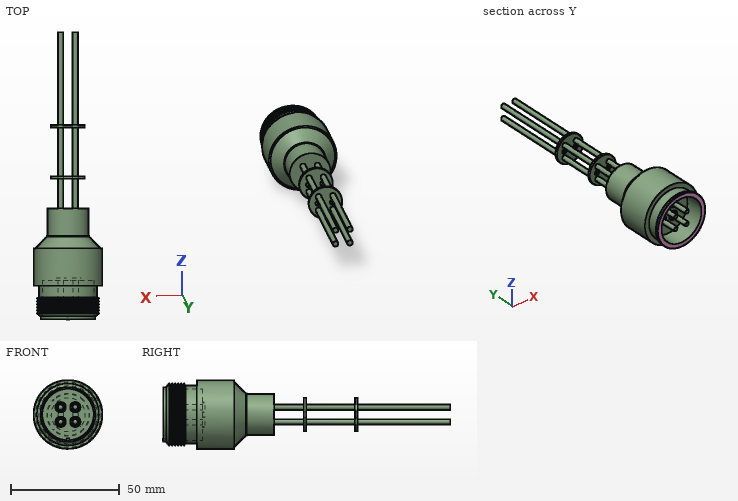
import cadquery as cq


overall_length = 132.15
key_overhang = 0.3
lead_end = overall_length - key_overhang

rim_radius = 12.6
bore_radius = 11.8
bore_depth = 18.0
rim_length = 1.35
collar_radius = 13.35
crest_radius = 14.25
first_crest = 2.7
thread_pitch = 1.37
crest_count = 6
flange_diameter = 31.7
flange_radius = flange_diameter / 2
flange_start = 15.4
taper_start = 32.6
taper_end = 38.4
lip_radius = 9.8
lip_length = 0.5
taper_large_radius = 15.0
neck_radius = 9.5
neck_end = 50.9

key_width = 1.3
key_radius = 0.75
key_center_radius = 11.65

contact_offset = 3.36
well_radius = 2.4
well_depth = 1.0
sleeve_radius = 2.0
pin_radius = 1.25
pin_nose_height = 1.0
pin_tip = 7.6
lead_radius = 1.3
lead_embedment = 1.0

disc_radius = 7.8
disc_thickness = 1.2
disc_centers = (65.1, 88.6)
disc_hole_radius = lead_radius

contact_points = [
    (side_x * contact_offset, side_z * contact_offset)
    for side_x in (-1, 1)
    for side_z in (-1, 1)
]


def cylinder(radius, start, end, center_x=0.0, center_z=0.0):
    """Cylinder along +Y between two stations."""
    return cq.Workplane(
        cq.Solid.makeCylinder(
            radius,
            end - start,
            cq.Vector(center_x, start, center_z),
            cq.Vector(0, 1, 0),
        )
    )


def revolve_about_y(outline):
    """Turn a closed (radius, y) outline about the Y axis."""
    return cq.Workplane("XY").polyline(outline).close().revolve(360, (0, 0, 0), (0, 1, 0))


def shell_body():
    """Outer shell with parallel thread ridges in place of a helix."""
    outline = [(0, 0), (rim_radius, 0), (rim_radius, rim_length)]
    for index in range(crest_count):
        crest = first_crest + index * thread_pitch
        outline.append((crest_radius, crest))
        outline.append((collar_radius, crest + thread_pitch / 2))
    outline += [
        (collar_radius, flange_start),
        (flange_radius, flange_start),
        (flange_radius, taper_start),
        (taper_large_radius, taper_start),
        (lip_radius, taper_end - lip_length),
        (lip_radius, taper_end),
        (neck_radius, taper_end),
        (neck_radius, neck_end),
        (0, neck_end),
    ]
    return revolve_about_y(outline).cut(cylinder(bore_radius, 0, bore_depth))


def round_nosed_pin(radius, nose_height, tip, back, center_x, center_z):
    """Pin along +Y whose front end is a spherical cap."""
    sphere_radius = (radius**2 + nose_height**2) / (2 * nose_height)
    shoulder = tip + nose_height
    sphere = cq.Workplane("XY").sphere(sphere_radius).translate((center_x, tip + sphere_radius, center_z))
    nose = cylinder(radius, tip, shoulder, center_x, center_z).intersect(sphere)
    return nose.union(cylinder(radius, shoulder, back, center_x, center_z))


def locating_key():
    """Round bar along X, set into the bore wall and just proud of the rim."""
    return cq.Workplane(
        cq.Solid.makeCylinder(
            key_radius,
            key_width,
            cq.Vector(-key_width / 2, key_radius - key_overhang, -key_center_radius),
            cq.Vector(1, 0, 0),
        )
    )


def contact_pin(center_x, center_z):
    """Round-nosed pin standing on a sleeve that ends flush with the bore floor."""
    well_floor = bore_depth + well_depth
    sleeve = cylinder(sleeve_radius, bore_depth, well_floor, center_x, center_z)
    pin = round_nosed_pin(pin_radius, pin_nose_height, pin_tip, well_floor, center_x, center_z)
    return sleeve.union(pin)


def spacer_disc(center_y):
    start = center_y - disc_thickness / 2
    end = center_y + disc_thickness / 2
    disc = cylinder(disc_radius, start, end)
    for side in (-1, 1):
        disc = disc.cut(cylinder(disc_hole_radius, start, end, side * contact_offset))
    return disc


result = shell_body().union(locating_key())
for x, z in contact_points:
    result = result.cut(cylinder(well_radius, bore_depth, bore_depth + well_depth, x, z))
    result = result.union(contact_pin(x, z))
    result = result.union(cylinder(lead_radius, neck_end - lead_embedment, lead_end, x, z))
for center in disc_centers:
    result = result.union(spacer_disc(center))